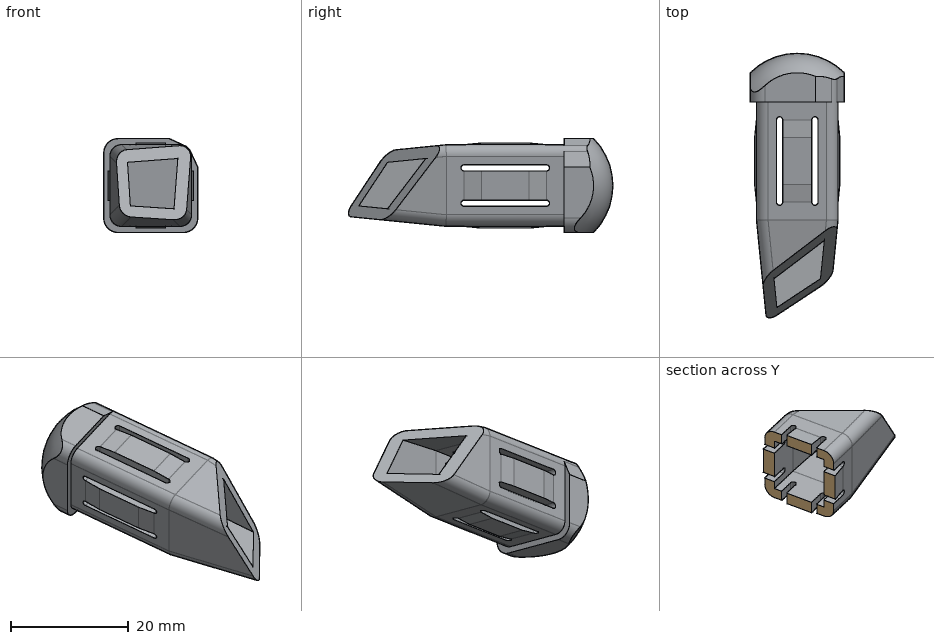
import cadquery as cq
import math


CAP_WIDTH = 16.0
CAP_CORNER_RADIUS = 2.5
CAP_EDGE_HEIGHT = 5.0
DOME_RADIUS = CAP_WIDTH / math.sqrt(2)
DOME_CENTER = CAP_EDGE_HEIGHT - CAP_WIDTH / 2
CAP_HEIGHT = DOME_CENTER + DOME_RADIUS
CUTAWAY_ANGLE = 25.0

BODY_WIDTH = 13.9
BODY_LENGTH = 20.0
BODY_CORNER_RADIUS = 2.0
WALL = 2.0

NOSE_LENGTH = 20.0
NOSE_END_WIDTH = 9.9
SLICE_AXIS_LENGTH = 10.0

ARM_WIDTH = 5.0
SLOT_WIDTH = 1.0
SLOT_LENGTH = 15.0
PAD_HEIGHT = 0.3
PAD_LENGTH = 14.0
PAD_FLAT_LENGTH = 8.0

OVERSIZE = 60.0


def section(distance):
    """XZ workplane at the given distance from the cap underside towards -Y."""
    return cq.Workplane("XZ", origin=(0, -distance, 0))


def make_cap():
    block = section(0).rect(CAP_WIDTH, CAP_WIDTH).extrude(-CAP_HEIGHT)
    block = block.edges("|Y").fillet(CAP_CORNER_RADIUS)
    dome = cq.Workplane("XY").sphere(DOME_RADIUS).translate((0, DOME_CENTER, 0))
    return block.intersect(dome).cut(make_corner_cutaway())


def make_corner_cutaway():
    """Corner waste outside two flats that run tangent into the body corner."""
    angle = math.radians(CUTAWAY_ANGLE)
    half = CAP_WIDTH / 2
    arc_center = BODY_WIDTH / 2 - BODY_CORNER_RADIUS
    near = arc_center + BODY_CORNER_RADIUS * math.sin(angle)
    far = arc_center + BODY_CORNER_RADIUS * math.cos(angle)
    middle = arc_center + BODY_CORNER_RADIUS * math.sqrt(0.5)
    flat_start = near - (half - far) / math.tan(angle)
    return (
        section(0)
        .moveTo(flat_start, half)
        .lineTo(near, far)
        .threePointArc((middle, middle), (far, near))
        .lineTo(half, flat_start)
        .lineTo(half, half)
        .close()
        .extrude(-CAP_HEIGHT)
    )


def make_tapering_bar(root_width, end_width, corner_radius=0.0):
    """Bar that is straight along the body and narrows along the nose.

    It is the overlap of a straight bar and a frustum, both as long as body and nose,
    whose sides cross at the end of the body.
    """
    length = BODY_LENGTH + NOSE_LENGTH
    slope = (root_width - end_width) / 2 / NOSE_LENGTH
    frustum_width = root_width + 2 * slope * BODY_LENGTH
    taper = math.degrees(math.atan(slope))
    straight = section(0).rect(root_width, root_width).extrude(length)
    frustum = section(0).rect(frustum_width, frustum_width).extrude(length, taper=taper)
    if corner_radius > 0:
        straight = straight.edges("not #Y").fillet(corner_radius)
        frustum = frustum.edges("not #Y").fillet(corner_radius)
    return straight.intersect(frustum)


def make_shell():
    """Body and sliced nose with rounded long edges, bored out square."""
    outside = make_tapering_bar(BODY_WIDTH, NOSE_END_WIDTH, BODY_CORNER_RADIUS)
    cavity = make_tapering_bar(BODY_WIDTH - 2 * WALL, NOSE_END_WIDTH - 2 * WALL)
    return outside.cut(make_slice()).cut(cavity)


def make_slice():
    """Waste beyond the 45 degree plane that leans towards +X and +Z."""
    lean = math.sqrt(0.5)
    plane = cq.Plane(
        origin=(0, -(BODY_LENGTH + SLICE_AXIS_LENGTH), 0),
        xDir=(1, 0, -1),
        normal=(lean, -1, lean),
    )
    return cq.Workplane(plane).rect(OVERSIZE, OVERSIZE).extrude(OVERSIZE)


def make_top_pad():
    """Raised pad with a ramp at each end, on the +Z arm."""
    surface = BODY_WIDTH / 2
    middle = -BODY_LENGTH / 2
    return (
        cq.Workplane("YZ")
        .moveTo(middle - PAD_LENGTH / 2, surface - WALL)
        .lineTo(middle - PAD_LENGTH / 2, surface)
        .lineTo(middle - PAD_FLAT_LENGTH / 2, surface + PAD_HEIGHT)
        .lineTo(middle + PAD_FLAT_LENGTH / 2, surface + PAD_HEIGHT)
        .lineTo(middle + PAD_LENGTH / 2, surface)
        .lineTo(middle + PAD_LENGTH / 2, surface - WALL)
        .close()
        .extrude(ARM_WIDTH / 2, both=True)
    )


def make_slot_pair():
    """Two slots through the +Z and -Z walls, one on each side of the arm."""
    offset = (ARM_WIDTH + SLOT_WIDTH) / 2
    return (
        cq.Workplane("XY")
        .pushPoints([(-offset, -BODY_LENGTH / 2), (offset, -BODY_LENGTH / 2)])
        .slot2D(SLOT_LENGTH, SLOT_WIDTH, 90)
        .extrude(BODY_WIDTH, both=True)
    )


def about_axis(shape, angle):
    return shape.rotate((0, 0, 0), (0, 1, 0), angle)


def make_part():
    shell = make_shell()
    for angle in (0, 90, 180, 270):
        shell = shell.union(about_axis(make_top_pad(), angle))
    for angle in (0, 90):
        shell = shell.cut(about_axis(make_slot_pair(), angle))
    return shell.union(make_cap())


result = make_part()